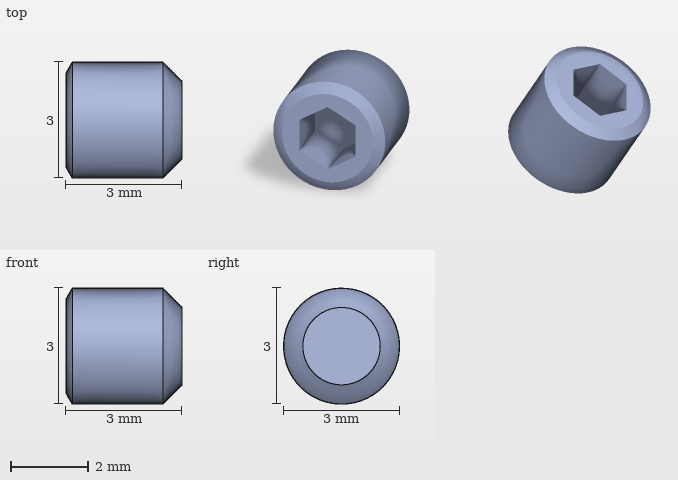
import cadquery as cq
import math

length = 3.0
body_diameter = 3.0
socket_face_diameter = 2.44
socket_chamfer_angle = 30.0
point_diameter = 2.0
point_chamfer_angle = 45.0
hex_across_flats = 1.5
socket_depth = 1.5


def chamfer_length(face_diameter, angle):
    """Axial length of a chamfer that runs from an end face out to the body."""
    radial_width = (body_diameter - face_diameter) / 2
    return radial_width * math.tan(math.radians(angle))


def make_body():
    """Cylinder with chamfered ends, revolved around the X axis."""
    body_radius = body_diameter / 2
    body_start = chamfer_length(socket_face_diameter, socket_chamfer_angle)
    body_end = length - chamfer_length(point_diameter, point_chamfer_angle)
    return (
        cq.Workplane("XY")
        .moveTo(0, 0)
        .lineTo(0, socket_face_diameter / 2)
        .lineTo(body_start, body_radius)
        .lineTo(body_end, body_radius)
        .lineTo(length, point_diameter / 2)
        .lineTo(length, 0)
        .close()
        .revolve(360, (0, 0, 0), (1, 0, 0))
    )


def make_hex_socket():
    """Flat-bottomed hexagonal prism with two corners pointing along Z."""
    across_corners = hex_across_flats / math.cos(math.radians(30))
    prism = cq.Workplane("YZ").polygon(6, across_corners).extrude(socket_depth)
    return prism.rotate((0, 0, 0), (1, 0, 0), 90)


result = make_body().cut(make_hex_socket())